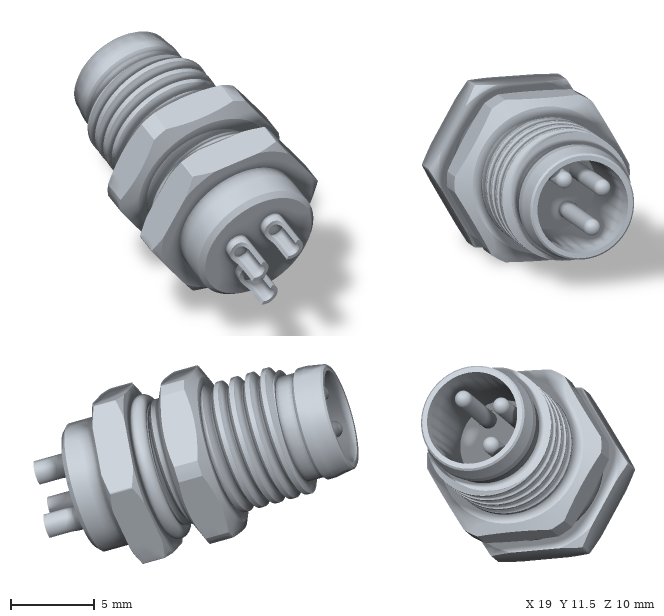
import cadquery as cq
import math

total_length = 19.0

tip_radius = 3.27
tip_edge_radius = 3.15
tip_edge_length = 0.11
collar_radius = 3.45
collar_taper_end = 1.22
collar_flat_end = 1.75
collar_end = 1.94
neck_radius = 3.25

thread_start = 2.96
thread_turns = 8
thread_end = 10.95
thread_radius = 3.99
thread_root_radius = 3.45
thread_crest_width = 0.3
thread_root_width = 0.08
flank_steps = 6
runout_length = 0.48
runout_overlap = 0.19
front_turns = 5
rear_turns = 1
seal_seat_radius = 3.75
thread_pitch = (thread_end - thread_start) / thread_turns
thread_start_angle = -108

across_flats = 10.0
nut_start = 7.49
nut_end = 9.98
nut_corner_radius = 5.51
nut_face_radius = 4.52
nut_chamfer_length = 0.5
flange_start = 11.95
flange_end = 13.96
flange_corner_radius = 5.748
flange_face_radius = 5.22
flange_chamfer_length = 0.3

seal_section_radius = 0.5
seal_outer_radius = 4.48

body_radius = 3.99
body_end = 16.47
body_chamfer = 0.3

socket_mouth_radius = 2.85
socket_floor_radius = 2.65
socket_depth = 5.7

contact_circle_radius = 1.75
contact_angles = (60, 150, 240)
pin_radius = 0.51
pin_tip = 0.45
pin_recess_radius = 0.63
pin_recess_depth = 0.1
cup_radius = 0.75
cup_bore_radius = 0.5
cup_open_start = 16.99
cup_opening_fillet = 0.7
cup_opening_angle = 150


def cylinder(start, end, radius, y=0, z=0):
    """Cylinder along X between two stations."""
    return cq.Workplane("YZ", origin=(start, y, z)).circle(radius).extrude(end - start)


def revolve_about_x(points):
    """Solid of revolution about X from (x, radius) points."""
    return cq.Workplane("XY").polyline(points).close().revolve(360, (0, 0, 0), (1, 0, 0))


def hex_disc(start, end, corner_radius, face_radius, chamfer_length):
    """Hexagon with flats facing +Z and -Z, turned down at the corners and coned at both faces."""
    hexagon = (
        cq.Workplane("YZ", origin=(start, 0, 0))
        .polygon(6, across_flats / math.cos(math.pi / 6))
        .extrude(end - start)
    )
    envelope = revolve_about_x([
        (start, 0),
        (start, face_radius),
        (start + chamfer_length, corner_radius),
        (end - chamfer_length, corner_radius),
        (end, face_radius),
        (end, 0),
    ])
    return hexagon.intersect(envelope)


def mating_collar():
    """Turned collar and neck in front of the thread."""
    return revolve_about_x([
        (0, 0),
        (0, tip_edge_radius),
        (tip_edge_length, tip_radius),
        (collar_taper_end, collar_radius),
        (collar_flat_end, collar_radius),
        (collar_end, neck_radius),
        (thread_start, neck_radius),
        (thread_start, 0),
    ])


def rear_body():
    """Seal seat and chamfered body behind the thread."""
    return revolve_about_x([
        (thread_end, 0),
        (thread_end, seal_seat_radius),
        (flange_start, seal_seat_radius),
        (flange_start, body_radius),
        (body_end - body_chamfer, body_radius),
        (body_end, body_radius - body_chamfer),
        (body_end, 0),
    ])


def polar_point(radius, angle):
    return (radius * math.cos(angle), radius * math.sin(angle))


def flank(start_radius, start_angle, end_radius, end_angle):
    """Points of an Archimedean spiral, the cross section of a straight thread flank."""
    points = []
    for step in range(flank_steps + 1):
        share = step / flank_steps
        radius = start_radius + (end_radius - start_radius) * share
        angle = start_angle + (end_angle - start_angle) * share
        points.append(polar_point(radius, angle))
    return points


def thread_length(start, turns):
    """Right-hand trapezoidal thread over whole turns, its cross section twisted along the axis."""
    crest_angle = math.pi * thread_crest_width / thread_pitch
    root_angle = math.pi * (1 - thread_root_width / thread_pitch)
    falling_flank = flank(thread_radius, crest_angle, thread_root_radius, root_angle)
    rising_flank = flank(thread_root_radius, -root_angle, thread_radius, -crest_angle)
    return (
        cq.Workplane("XY")
        .moveTo(*rising_flank[-1])
        .threePointArc((thread_radius, 0), falling_flank[0])
        .spline(falling_flank[1:], includeCurrent=True)
        .threePointArc((-thread_root_radius, 0), rising_flank[0])
        .spline(rising_flank[1:], includeCurrent=True)
        .close()
        .twistExtrude(turns * thread_pitch, 360 * turns)
        .rotate((0, 0, 0), (0, 0, 1), thread_start_angle)
        .rotate((0, 0, 0), (0, 1, 0), 90)
        .translate((start, 0, 0))
    )


def runout():
    """Space outside the 45 degree cone that brings the last turn down to the seal seat."""
    return revolve_about_x([
        (thread_end + runout_overlap, seal_seat_radius - runout_overlap),
        (thread_end - runout_length, seal_seat_radius + runout_length),
        (thread_end + runout_overlap, seal_seat_radius + runout_length),
    ])


def seal_ring():
    """Round-section ring resting against the flange."""
    ring = cq.Solid.makeTorus(
        seal_outer_radius - seal_section_radius,
        seal_section_radius,
        cq.Vector(flange_start - seal_section_radius, 0, 0),
        cq.Vector(1, 0, 0),
    )
    return cq.Workplane(ring)


def socket():
    """Slightly tapered cavity of the mating end."""
    return revolve_about_x([
        (0, 0),
        (0, socket_mouth_radius),
        (socket_depth, socket_floor_radius),
        (socket_depth, 0),
    ])


def pin(y, z):
    """Contact pin with a hemispherical tip, standing in the socket."""
    shaft = cylinder(pin_tip + pin_radius, socket_depth + pin_recess_depth + 0.19, pin_radius, y, z)
    tip = cq.Workplane("XY", origin=(pin_tip + pin_radius, y, z)).sphere(pin_radius)
    return shaft.union(tip)


def solder_cup(y, z):
    """Rear terminal, bored and cut back to half its section."""
    post = cylinder(body_end - 0.19, total_length, cup_radius, y, z)
    bore = cylinder(cup_open_start, total_length, cup_bore_radius, y, z)
    opening = (
        cq.Workplane("XY", origin=(cup_open_start, -cup_radius, 0))
        .box(total_length - cup_open_start, 2 * cup_radius, cup_radius, centered=False)
        .edges("<X and <Z")
        .fillet(cup_opening_fillet)
        .rotate((0, 0, 0), (1, 0, 0), cup_opening_angle - 90)
        .translate((0, y, z))
    )
    return post.cut(bore).cut(opening)


nut = hex_disc(nut_start, nut_end, nut_corner_radius, nut_face_radius, nut_chamfer_length)
flange = hex_disc(flange_start, flange_end, flange_corner_radius, flange_face_radius, flange_chamfer_length)

rear = rear_body().union(flange).union(seal_ring())
cavity = socket()
for angle in contact_angles:
    contact_y = contact_circle_radius * math.cos(math.radians(angle))
    contact_z = contact_circle_radius * math.sin(math.radians(angle))
    rear = rear.union(solder_cup(contact_y, contact_z))
    recess_end = socket_depth + pin_recess_depth
    recess = cylinder(socket_depth, recess_end, pin_recess_radius, contact_y, contact_z)
    cavity = cavity.union(recess).cut(pin(contact_y, contact_z))

front_thread = thread_length(thread_start, front_turns)
rear_thread = thread_length(thread_end - rear_turns * thread_pitch, rear_turns).cut(runout())
front = front_thread.union(mating_collar()).union(nut).cut(cavity)
result = front.union(rear_thread).union(rear)